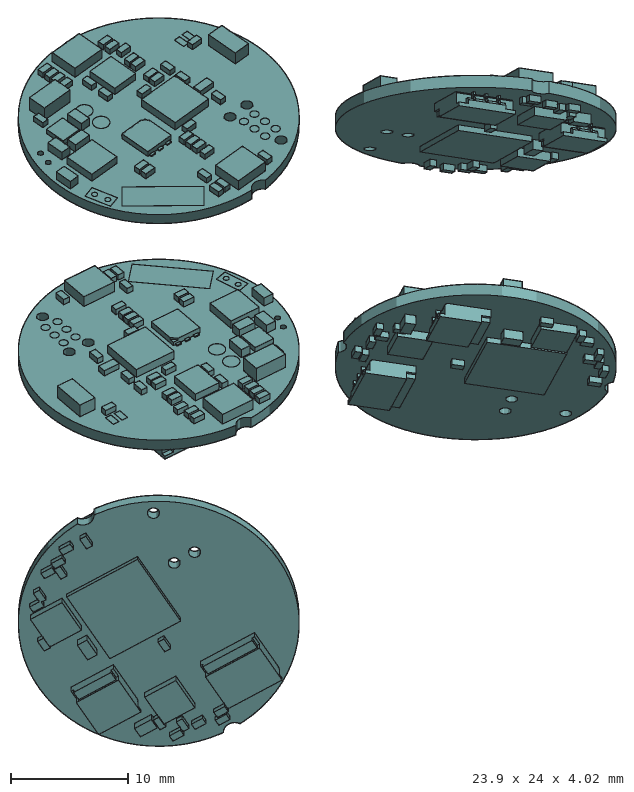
import cadquery as cq


board_radius = 12.0
board_sides = 72
board_thickness = 1.08
board_bottom = -board_thickness

notch_radius = 0.95
notch_sides = 24
notch_center_x = 12.47

alignment_hole_diameter = 1.0
alignment_hole_centers = [(4.4, 6.27), (4.4, 4.23), (9.49, 5.25)]

pad_thickness = 0.012
program_pad_diameter = 0.8
program_pad_pitch = 1.27
program_pad_columns = 3
program_pad_rows = 2
program_pad_center = (6.92, 5.28)
round_pad_diameter = 1.5
round_pad_centers = [(-5.0, -3.99), (-2.98, -3.99)]
chip_pad_centers = [(-5.0, 8.8), (-5.0, 7.85)]
label_length = 7.01
label_width = 2.33
label_center = (7.1, -6.7)
label_angle = 45.0

wire_hole_diameter = 0.5
wire_hole_spacing = 1.3
wire_hole_depth = 0.95
wire_pad_length = 2.5
wire_pad_width = 1.2
wire_pad_center = (3.4, -10.47)
wire_pad_angle = 15.0

chip_length = 1.1
chip_width = 0.6
chip_height = 0.58
large_chip_length = 1.68
large_chip_width = 0.95
large_chip_height = 0.9

top_chips_along_x = [
    (-3.36, 4.52), (-1.55, 4.52), (2.23, 5.0), (10.2, 2.57), (8.1, -2.65),
    (10.0, -2.35), (10.0, -3.12), (-6.85, -1.5), (-4.92, -1.5), (-6.63, -7.65),
]
top_chips_along_y = [
    (-3.95, 8.35), (-9.37, 3.0), (-8.58, 3.0), (-7.6, 3.4), (-6.27, 3.05),
    (-5.52, 3.05), (-3.8, 2.88), (-3.07, 2.88), (-2.79, 1.05), (2.93, 0.72),
    (3.72, -0.43), (4.5, -0.43), (5.24, -0.43), (6.2, -0.43), (-10.65, -3.05),
    (-9.85, -3.05), (-9.08, -3.05), (-8.21, -3.05), (3.5, -5.67), (4.28, -5.67),
]
top_large_chips_along_x = [(-4.28, -5.45), (-3.0, -9.13), (0.0, -11.15)]
top_large_chips_along_y = [(-2.45, -7.28)]

bottom_chips_along_x = [
    (-9.27, -3.27), (-8.1, -4.85), (-1.78, -0.53), (3.65, -9.27), (7.85, -7.13),
    (8.9, -4.4), (10.3, -0.98),
]
bottom_chips_along_y = [
    (-10.6, -0.07), (-9.87, 0.22), (-9.87, -2.02), (-9.87, -4.23), (7.13, -7.85), (9.45, -5.3),
    (9.8, -4.08), (10.6, -2.79),
]
bottom_large_chips_along_x = [(1.42, -6.3)]
bottom_large_chips_along_y = [(-7.73, -6.0)]

top_blocks = [
    (3.2, 1.6, 1.3, [(-1.42, 9.95)]),
    (2.75, 3.27, 1.08, [(-9.8, 0.0), (9.8, 0.0)]),
    (1.8, 3.12, 1.47, [(-7.52, -5.65)]),
    (2.98, 3.03, 0.82, [(0.0, -8.15)]),
    (0.8, 1.59, 0.58, [(0.43, 5.02)]),
]
bottom_blocks = [(3.17, 3.17, 0.8, [(4.88, -7.33)])]

connectors = [
    {"left_x": -9.49, "center_y": 3.85, "contacts": 3},
    {"left_x": -5.88, "center_y": -7.5, "contacts": 2},
]
contact_pitch = 1.2
connector_end = 1.51
connector_length = 3.68
connector_top = board_bottom - 0.05
connector_bottom = -2.55
back_depth = 0.43
cheek_width = 0.91
cheek_bottom = -2.2
cheek_chamfer = 0.15
sill_top = -1.65
sill_chamfer_height = 0.22
sill_chamfer_depth = 0.12
mouth_length = 0.85
mouth_height = 0.72
tongue_inset = 0.25
tongue_height = 1.15
leg_width = 0.2
leg_face = 0.05
leg_bend = 0.17
leg_foot_height = 0.26
leg_bend_height = 0.35
leg_knee_height = 0.48

sensor_length = 3.12
sensor_width = 2.83
sensor_height = 0.58
sensor_center = (1.23, -2.75)
sensor_corner_cut = 0.5
sensor_corner_depth = 0.2
sensor_leads_per_side = 3
lead_pitch = 0.95
lead_reach = 0.25
lead_width = 0.5
lead_height = 0.12

chip_gap = 0.07
wide_chip_gap = 0.12
main_chip_size = 4.05
main_chip_center = (0.2, 1.78)
square_chip_size = 3.12
square_chip_center = (-6.65, -2.95)
main_chip_height = 0.86
square_chip_height = 0.8
wide_chip_length = 2.98
wide_chip_width = 2.55
wide_chip_height = 0.75
wide_chip_center = (-5.93, 0.43)
small_chip_length = 2.02
small_chip_width = 1.97
small_chip_height = 0.5
small_chip_center = (-4.3, -7.3)
flat_chip_size = 7.09
flat_chip_center = (3.07, -1.63)
flat_chip_height = 0.5


def blocks(x_size, y_size, height, centers, base=0.0):
    """Equal blocks on the plane Z = base; a negative height hangs them below it."""
    plane = cq.Workplane("XY", origin=(0, 0, base))
    return plane.pushPoints(centers).rect(x_size, y_size).extrude(height)


def discs(diameter, height, centers, base=0.0):
    """Equal round discs on the plane Z = base."""
    plane = cq.Workplane("XY", origin=(0, 0, base))
    return plane.pushPoints(centers).circle(diameter / 2).extrude(height)


def spaced(count, pitch):
    """Evenly spaced positions centered on zero."""
    return [(i - (count - 1) / 2) * pitch for i in range(count)]


def turned(shape, angle, center):
    """A shape turned about Z and then moved to its center."""
    return shape.rotate((0, 0, 0), (0, 0, 1), angle).translate(center)


def prism(sides, radius, center_x=0.0):
    """A regular prism through the thickness of the board."""
    plane = cq.Workplane("XY", origin=(center_x, 0, board_bottom))
    return plane.polygon(sides, 2 * radius).extrude(board_thickness)


def make_bare_board():
    board = prism(board_sides, board_radius)
    for notch_x in (-notch_center_x, notch_center_x):
        board = board.cut(prism(notch_sides, notch_radius, notch_x))
    holes = discs(alignment_hole_diameter, board_thickness, alignment_hole_centers, board_bottom)
    return board.cut(holes)


def wire_hole_discs(height):
    return discs(wire_hole_diameter, height, [(x, 0) for x in spaced(2, wire_hole_spacing)])


def make_wire_holes():
    mirrored_center = (-wire_pad_center[0], wire_pad_center[1])
    return turned(wire_hole_discs(-wire_hole_depth), -wire_pad_angle, mirrored_center)


def make_pads():
    """All thin pads on the top face, as a list of shapes."""
    program_pads = [
        (program_pad_center[0] + x, program_pad_center[1] + y)
        for x in spaced(program_pad_columns, program_pad_pitch)
        for y in spaced(program_pad_rows, program_pad_pitch)
    ]
    label = blocks(label_length, label_width, pad_thickness, [(0, 0)])
    wire_pad = blocks(wire_pad_length, wire_pad_width, pad_thickness, [(0, 0)])
    wire_pad = wire_pad.cut(wire_hole_discs(pad_thickness))
    return [
        discs(program_pad_diameter, pad_thickness, program_pads),
        discs(round_pad_diameter, pad_thickness, round_pad_centers),
        blocks(chip_length, chip_width, pad_thickness, chip_pad_centers),
        turned(label, label_angle, label_center),
        turned(wire_pad, wire_pad_angle, wire_pad_center),
    ]


def make_soldered_parts():
    """Small chips and larger blocks that stand on both faces, as a list of shapes."""
    parts = [
        blocks(chip_length, chip_width, chip_height, top_chips_along_x),
        blocks(chip_width, chip_length, chip_height, top_chips_along_y),
        blocks(large_chip_length, large_chip_width, large_chip_height, top_large_chips_along_x),
        blocks(large_chip_width, large_chip_length, large_chip_height, top_large_chips_along_y),
        blocks(chip_length, chip_width, -chip_height, bottom_chips_along_x, board_bottom),
        blocks(chip_width, chip_length, -chip_height, bottom_chips_along_y, board_bottom),
        blocks(large_chip_length, large_chip_width, -large_chip_height,
               bottom_large_chips_along_x, board_bottom),
        blocks(large_chip_width, large_chip_length, -large_chip_height,
               bottom_large_chips_along_y, board_bottom),
    ]
    for x_size, y_size, height, centers in top_blocks:
        parts.append(blocks(x_size, y_size, height, centers))
    for x_size, y_size, height, centers in bottom_blocks:
        parts.append(blocks(x_size, y_size, -height, centers, board_bottom))
    return parts


def make_connector(left_x, center_y, contacts):
    """Housing with a stepped back and one bent leg per contact."""
    width = (contacts - 1) * contact_pitch + 2 * connector_end

    def slab(x_start, x_size, y_size, bottom, y_center=0.0):
        center = (x_start + x_size / 2, y_center)
        return blocks(x_size, y_size, bottom - connector_top, [center], connector_top)

    def extruded_along_y(profile, y_size, y_center=0.0):
        plane = cq.Workplane("XZ", origin=(0, y_center, 0))
        return plane.polyline(profile).close().extrude(y_size / 2, both=True)

    housing = slab(0, connector_length, width, connector_bottom)
    housing = housing.union(slab(connector_length, mouth_length, width, connector_top - mouth_height))
    tongue_width = width - 2 * tongue_inset
    housing = housing.union(
        slab(connector_length, mouth_length, tongue_width, connector_top - tongue_height)
    )

    sill_width = width - 2 * cheek_width
    housing = housing.cut(slab(0, back_depth, sill_width, sill_top))
    sill_edge = [(0, sill_top), (sill_chamfer_depth, sill_top), (0, sill_top - sill_chamfer_height)]
    housing = housing.cut(extruded_along_y(sill_edge, sill_width))
    for side in (-1, 1):
        cheek_y = side * (width - cheek_width) / 2
        housing = housing.cut(slab(0, back_depth, cheek_width, cheek_bottom, cheek_y))
    housing = housing.faces(">Z").edges("<X").chamfer(cheek_chamfer)

    leg_profile = [
        (back_depth, board_bottom),
        (leg_face, board_bottom),
        (leg_face, board_bottom - leg_foot_height),
        (leg_bend, board_bottom - leg_bend_height),
        (leg_face, board_bottom - leg_knee_height),
        (leg_face, sill_top - sill_chamfer_height),
        (back_depth, sill_top - sill_chamfer_height),
    ]
    for leg_y in spaced(contacts, contact_pitch):
        housing = housing.union(extruded_along_y(leg_profile, leg_width, leg_y))
    return housing.translate((left_x, center_y, 0))


def make_board():
    board = make_bare_board().cut(make_wire_holes())
    for part in make_soldered_parts() + make_pads():
        board = board.union(part)
    for connector in connectors:
        board = board.union(make_connector(**connector))
    return board


def make_sensor():
    """Flat package with leads along both X sides and a cut pin-1 corner."""
    body = blocks(sensor_length, sensor_width, sensor_height, [(0, 0)])
    corner_x = -sensor_length / 2
    corner_y = sensor_width / 2
    corner = (
        cq.Workplane("XY", origin=(0, 0, sensor_height))
        .polyline([
            (corner_x, corner_y),
            (corner_x, corner_y - sensor_corner_cut),
            (corner_x + sensor_corner_cut, corner_y),
        ])
        .close()
        .extrude(-sensor_corner_depth)
    )
    lead_centers = [(0, y) for y in spaced(sensor_leads_per_side, lead_pitch)]
    leads = blocks(sensor_length + 2 * lead_reach, lead_width, lead_height, lead_centers)
    return body.cut(corner).union(leads).translate(sensor_center)


def make_top_chip(x_size, y_size, height, center, gap):
    """Leadless chip just above the top face."""
    return blocks(x_size, y_size, height, [center], gap)


def make_bottom_chip(size, height, center):
    """Square leadless chip just below the bottom face."""
    return blocks(size, size, -height, [center], board_bottom - chip_gap)


board = make_board()
sensor = make_sensor()
main_chip = make_top_chip(main_chip_size, main_chip_size, main_chip_height, main_chip_center, chip_gap)
wide_chip = make_top_chip(
    wide_chip_length, wide_chip_width, wide_chip_height, wide_chip_center, wide_chip_gap
)
small_chip = make_top_chip(
    small_chip_length, small_chip_width, small_chip_height, small_chip_center, chip_gap
)
square_chip = make_bottom_chip(square_chip_size, square_chip_height, square_chip_center)
flat_chip = make_bottom_chip(flat_chip_size, flat_chip_height, flat_chip_center)

result = cq.Compound.makeCompound([
    board.val(),
    sensor.val(),
    main_chip.val(),
    wide_chip.val(),
    small_chip.val(),
    square_chip.val(),
    flat_chip.val(),
])